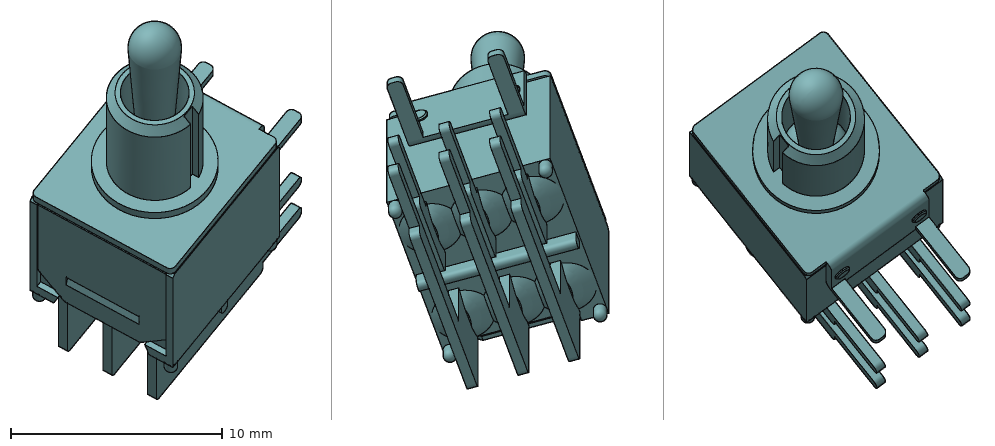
import cadquery as cq
import math


case_width = 8.12
overall_depth = 12.95
overall_height = 23.2

case_depth = 9.15
case_height = 7.43
case_corner_chamfer = 0.16
wall_thickness = 0.4
front_y = -case_depth / 2
rear_y = case_depth / 2

recess_depth = 0.32
recess_width = case_width - 2 * wall_thickness
ledge_height = 0.63
panel_setback = 0.1
panel_bottom = 0.45
panel_bottom_width = 4.32
panel_shoulder_height = 1.85
panel_bevel_height = 0.28
louvre_width = 4.13
louvre_height = 0.63
louvre_depth = 0.2
louvre_center_z = 2.18
notch_depth = 0.65
notch_bottom_width = 5.43
notch_top_width = 4.92

sheet_thickness = 0.45
cover_width = 8.03
cover_corner_radius = 0.3
collar_diameter = 6.0
collar_thickness = 0.49
cover_top = case_height + sheet_thickness
collar_top = cover_top + collar_thickness

bushing_diameter = 4.6
bushing_length = 5.57
bushing_chamfer = 0.42
bore_diameter = 3.25
keyway_width = 0.7
keyway_floor_radius = 1.9

terminal_pitch = 2.53
terminal_thickness = 0.5
terminal_tip_radius = 0.28
terminal_tip_y = overall_depth - case_depth / 2
terminal_shoulder_y = 5.08
blade_inner_y = 1.05
blade_outer_y = 4.06
front_terminal_bottom = -4.36
front_terminal_top = -2.9
front_tip_bottom = -3.67
rear_terminal_bottom = -1.79
rear_terminal_top = -0.42
rear_tip_bottom = -1.1

lever_top = overall_height + front_terminal_bottom
lever_tip_radius = 1.28
lever_neck_radius = 1.07
lever_tip_center_z = lever_top - lever_tip_radius

mound_height = 0.42
mound_base_x = 1.5
mound_base_y = 1.37
mound_waist_depth = 0.19
mound_waist_x = 0.85
mound_waist_y = 1.11
mound_tip_x = 0.32
mound_tip_y = 0.8

foot_diameter = 0.65
foot_height = 0.81
rib_length = 7.94
rib_thickness = 0.53
rib_height = 0.84
rib_edge_radius = 0.25

bracket_width = 5.8
bracket_outer_y = 5.01
bracket_bottom = 4.13
bracket_bend_radius = 0.37
bracket_leg_width = 0.8
dimple_diameter = 0.84
dimple_height = 0.15
dimple_spacing = 4.6
dimple_z = 6.05


def block(x_size, y_range, z_range):
    """Box centered on X = 0 between the given Y and Z limits."""
    y_min, y_max = y_range
    z_min, z_max = z_range
    return (
        cq.Workplane("XY")
        .box(x_size, y_max - y_min, z_max - z_min, centered=(True, False, False))
        .translate((0, y_min, z_min))
    )


def make_panel():
    """Front panel with clipped lower corners, a beveled top edge and a sloped louvre."""
    face_y = front_y + panel_setback
    back_y = front_y + recess_depth
    outline = [
        (-panel_bottom_width / 2, panel_bottom),
        (panel_bottom_width / 2, panel_bottom),
        (recess_width / 2, panel_shoulder_height),
        (recess_width / 2, case_height),
        (-recess_width / 2, case_height),
        (-recess_width / 2, panel_shoulder_height),
    ]
    panel = cq.Workplane("XZ", origin=(0, back_y, 0)).polyline(outline).close().extrude(back_y - face_y)
    bevel = (
        cq.Workplane("YZ")
        .polyline([(face_y, case_height - panel_bevel_height), (face_y, case_height), (back_y, case_height)])
        .close()
        .extrude(recess_width / 2, both=True)
    )
    louvre_bottom = louvre_center_z - louvre_height / 2
    louvre_top = louvre_center_z + louvre_height / 2
    louvre = (
        cq.Workplane("YZ")
        .polyline([(face_y, louvre_bottom), (face_y, louvre_top), (face_y + louvre_depth, louvre_top)])
        .close()
        .extrude(louvre_width / 2, both=True)
    )
    return panel.cut(bevel).cut(louvre)


def make_case():
    """Solid case, recessed at the front between two side walls and notched at its lower front edge."""
    case = block(case_width, (front_y, rear_y), (0, case_height))
    case = case.edges("|X and >Z").chamfer(case_corner_chamfer)
    recess = block(recess_width, (front_y, front_y + recess_depth), (ledge_height, case_height))
    notch = (
        cq.Workplane("XZ", origin=(0, front_y, 0))
        .polyline([
            (-notch_bottom_width / 2, 0),
            (notch_bottom_width / 2, 0),
            (notch_top_width / 2, ledge_height),
            (-notch_top_width / 2, ledge_height),
        ])
        .close()
        .extrude(-notch_depth)
    )
    return case.cut(recess).cut(notch).union(make_panel())


def make_cover():
    """Sheet plate over the case with the round collar the bushing stands on."""
    plate = block(cover_width, (front_y, rear_y), (case_height, cover_top))
    plate = plate.edges("|Z").fillet(cover_corner_radius)
    collar = cq.Workplane("XY", origin=(0, 0, cover_top)).circle(collar_diameter / 2)
    collar = collar.extrude(collar_thickness)
    return plate.union(collar)


def make_bushing():
    """Chamfered sleeve around the lever with a keyway along its +X side."""
    sleeve = (
        cq.Workplane("XY", origin=(0, 0, collar_top))
        .circle(bushing_diameter / 2)
        .extrude(bushing_length)
        .faces(">Z")
        .chamfer(bushing_chamfer)
        .faces(">Z")
        .workplane()
        .hole(bore_diameter)
    )
    keyway_depth = bushing_diameter / 2 - keyway_floor_radius
    keyway = cq.Workplane("XY", origin=(keyway_floor_radius, 0, collar_top))
    keyway = keyway.box(keyway_depth, keyway_width, bushing_length, centered=(False, True, False))
    return sleeve.cut(keyway)


def make_lever():
    """Tapered lever with a round tip, rising from a half ball at the foot of the bore."""
    bushing_top = collar_top + bushing_length
    taper = (lever_tip_radius - lever_neck_radius) / (lever_tip_center_z - bushing_top)
    foot_radius = lever_tip_radius - taper * (lever_tip_center_z - collar_top)
    tip_offset = lever_tip_radius * math.sqrt(0.5)
    stem = (
        cq.Workplane("XZ")
        .moveTo(0, collar_top)
        .lineTo(foot_radius, collar_top)
        .lineTo(lever_tip_radius, lever_tip_center_z)
        .threePointArc((tip_offset, lever_tip_center_z + tip_offset), (0, lever_top))
        .close()
        .revolve()
    )
    ball = cq.Workplane("XY", origin=(0, 0, collar_top)).sphere(bore_diameter / 2, angle1=0)
    return stem.union(ball)


def round_blade(outline, x):
    """Blade of the given YZ outline centered on x, with rounded tip and lower corners."""
    blade = cq.Workplane("YZ", origin=(x, 0, 0)).polyline(outline).close()
    blade = blade.extrude(terminal_thickness / 2, both=True)
    return blade.edges("|X and (<Z or >Y)").fillet(terminal_tip_radius)


def terminal_tip_outline(bottom, tip_bottom, top):
    """Points of the stepped tip, from the lower shoulder corner up to the upper tip corner."""
    return [
        (terminal_shoulder_y, bottom),
        (terminal_shoulder_y, tip_bottom),
        (terminal_tip_y, tip_bottom),
        (terminal_tip_y, top),
    ]


def make_front_terminal(x):
    """Long L-shaped blade that passes below the rear row."""
    outline = [(-blade_inner_y, 0), (-blade_outer_y, 0), (-blade_outer_y, front_terminal_bottom)]
    outline += terminal_tip_outline(front_terminal_bottom, front_tip_bottom, front_terminal_top)
    outline += [(-blade_inner_y, front_terminal_top)]
    return round_blade(outline, x)


def make_rear_terminal(x):
    """Short blade that runs toward +Y just below the case."""
    outline = [(blade_outer_y, 0), (blade_inner_y, 0), (blade_inner_y, rear_terminal_bottom)]
    outline += terminal_tip_outline(rear_terminal_bottom, rear_tip_bottom, rear_terminal_top)
    outline += [(blade_outer_y, rear_terminal_top)]
    return round_blade(outline, x)


def make_mound(x, y):
    """Sealing mound with flared sides, widest where it meets the case."""
    return (
        cq.Workplane("XY", origin=(x, y, 0))
        .ellipse(mound_base_x, mound_base_y)
        .workplane(offset=-mound_waist_depth)
        .ellipse(mound_waist_x, mound_waist_y)
        .workplane(offset=mound_waist_depth - mound_height)
        .ellipse(mound_tip_x, mound_tip_y)
        .loft(ruled=True)
    )


def make_foot():
    """Round foot with a domed end."""
    foot = cq.Workplane("XY").circle(foot_diameter / 2).extrude(foot_diameter / 2 - foot_height)
    dome = cq.Workplane("XY", origin=(0, 0, foot_diameter / 2 - foot_height)).sphere(foot_diameter / 2)
    return foot.union(dome)


def make_rib():
    """Bar across the underside with rounded lower edges."""
    rib = block(rib_length, (-rib_thickness / 2, rib_thickness / 2), (-rib_height, 0))
    return rib.edges("|X and <Z").fillet(rib_edge_radius)


def make_bracket():
    """Plate against the rear of the case with two dimples and two legs bent out at its lower corners."""
    inner_y = bracket_outer_y - sheet_thickness
    plate = block(bracket_width, (inner_y, bracket_outer_y), (bracket_bottom, cover_top))
    plate = plate.edges("|X and >Y and >Z").fillet(bracket_bend_radius)
    plate = plate.edges("|X and <Y and <Z").fillet(bracket_bend_radius)
    leg_length = terminal_tip_y - bracket_outer_y
    leg = (
        cq.Workplane("XY", origin=(0, bracket_outer_y, bracket_bottom))
        .box(bracket_leg_width, leg_length, sheet_thickness, centered=(True, False, False))
        .edges("|Z and >Y")
        .fillet(terminal_tip_radius)
    )
    dimple = cq.Workplane("XZ", origin=(0, bracket_outer_y, dimple_z)).circle(dimple_diameter / 2)
    dimple = dimple.extrude(-dimple_height).faces(">Y").chamfer(dimple_height / 2)
    for side in (-1, 1):
        leg_x = side * (bracket_width - bracket_leg_width) / 2
        plate = plate.union(leg.translate((leg_x, 0, 0)))
        plate = plate.union(dimple.translate((side * dimple_spacing / 2, 0, 0)))
    return plate


result = make_case().union(make_cover()).union(make_bushing()).union(make_lever())
result = result.union(make_bracket()).union(make_rib())

foot_x = (case_width - foot_diameter) / 2
foot_y = (case_depth - foot_diameter) / 2
for x_side in (-1, 1):
    for y_side in (-1, 1):
        result = result.union(make_foot().translate((x_side * foot_x, y_side * foot_y, 0)))

mound_y = (blade_inner_y + blade_outer_y) / 2
for x in (-terminal_pitch, 0, terminal_pitch):
    for row_y in (-mound_y, mound_y):
        result = result.union(make_mound(x, row_y))
    result = result.union(make_front_terminal(x)).union(make_rear_terminal(x))